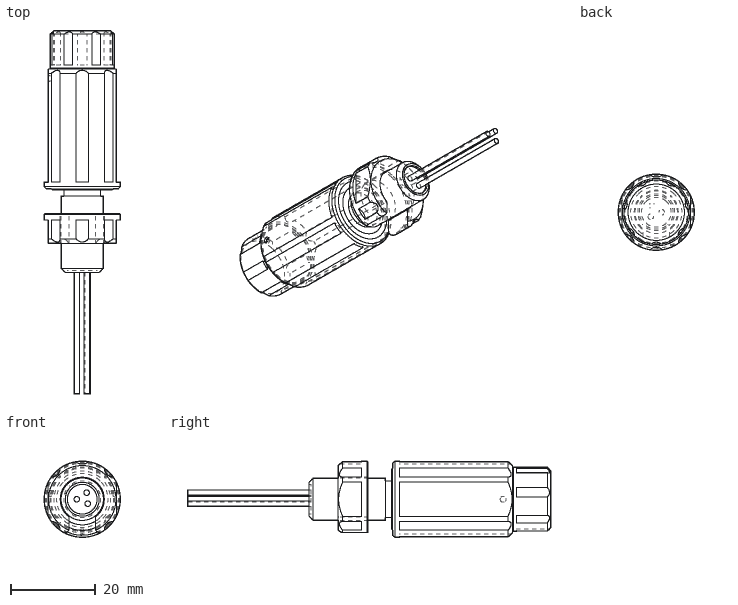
import cadquery as cq
import math


cap_end = 9.05
housing_end = 37.3
neck_end = 39.0
stem_end = 57.05
total_length = 85.65
clip_start = 43.1
clip_end = 50.15

cap_radius = 7.6
cap_chamfer_length = 0.8
cap_chamfer_height = 0.95
cap_groove_count = 7
cap_groove_width = 2.25
cap_groove_depth = 0.55
cap_groove_end = 8.1
cap_neck_radius = 7.4
cap_neck_length = 0.2

grip_radius = 9.0
grip_chamfer = 1.05
grip_groove_width = 2.9
grip_groove_depth = 0.75
grip_groove_angles = (45, 90, 135, 225, 270, 315)
flat_distance = 8.05
flange_width = 1.6
housing_flange_chamfer = 0.5
clip_flange_chamfer = 0.3

dimple_station = 11.25
dimple_radius = 0.7
dimple_depth = 0.5

seal_radius = 6.7
seal_width = 1.3
seal_height = 0.3

neck_radius = 4.35
stem_radius = 5.0
stem_chamfer = 1.0
recess_radius = 3.5
recess_depth = 0.5

wire_radius = 0.65
wire_centres = ((-1.29, 0.0), (1.03, 1.55), (1.29, -1.05))

clip_bore_radius = 5.2
clip_slot_width = 6.2
clip_slot_fillet = 1.0


def along_axis(depth):
    """XZ workplane at a depth; extrusions run toward the cable."""
    return cq.Workplane("XZ", origin=(0, -depth, 0))


def cylinder(radius, start, end, x=0, z=0):
    return along_axis(start).center(x, z).circle(radius).extrude(end - start)


def groove_cutter(radius, angle, width, depth, start, end):
    """Round-bottomed lengthwise groove of given width and depth in a cylinder."""
    half_width = width / 2
    surface = math.sqrt(radius**2 - half_width**2)
    sagitta = surface - (radius - depth)
    groove_radius = (half_width**2 + sagitta**2) / (2 * sagitta)
    centre = radius - depth + groove_radius
    turn = math.radians(angle)
    return cylinder(groove_radius, start, end, centre * math.cos(turn), centre * math.sin(turn))


def cut_grip(body, start, end):
    """Cut the lengthwise grooves and the two side flats into a grip."""
    for angle in grip_groove_angles:
        body = body.cut(groove_cutter(grip_radius, angle, grip_groove_width, grip_groove_depth, start, end))
    for side in (-1, 1):
        slab = (
            along_axis(start)
            .center(side * (flat_distance + grip_radius / 2), 0)
            .rect(grip_radius, 2 * grip_radius)
            .extrude(end - start)
        )
        body = body.cut(slab)
    return body


def make_cap():
    """Chamfered, grooved cap with a narrow neck where it meets the housing."""
    neck_start = cap_end - cap_neck_length
    profile = [
        (0, 0),
        (cap_radius - cap_chamfer_height, 0),
        (cap_radius, -cap_chamfer_length),
        (cap_radius, -neck_start),
        (cap_neck_radius, -neck_start),
        (cap_neck_radius, -cap_end),
        (0, -cap_end),
    ]
    cap = cq.Workplane("XY").polyline(profile).close().revolve(360, (0, 0, 0), (0, 1, 0))
    first_angle = -90
    for index in range(cap_groove_count):
        angle = first_angle + index * 360 / cap_groove_count
        cap = cap.cut(groove_cutter(cap_radius, angle, cap_groove_width, cap_groove_depth, 0, cap_groove_end))
    return cap


def make_housing():
    housing = cylinder(grip_radius, cap_end, housing_end)
    housing = housing.faces(">Y").edges().chamfer(grip_chamfer)
    housing = housing.faces("<Y").edges().chamfer(housing_flange_chamfer)
    housing = cut_grip(housing, cap_end, housing_end - flange_width)
    dimple = (
        cq.Workplane("YZ", origin=(-flat_distance, -dimple_station, 0))
        .circle(dimple_radius)
        .extrude(dimple_depth)
    )
    return housing.cut(dimple)


def make_seal():
    """Ring with an arc-shaped crown, revolved about the connector axis."""
    inner = seal_radius - seal_width / 2
    outer = seal_radius + seal_width / 2
    return (
        cq.Workplane("XY")
        .moveTo(inner, -housing_end)
        .threePointArc((seal_radius, -housing_end - seal_height), (outer, -housing_end))
        .close()
        .revolve(360, (0, 0, 0), (0, 1, 0))
    )


def make_stem():
    neck = cylinder(neck_radius, housing_end, neck_end)
    stem = cylinder(stem_radius, neck_end, stem_end).faces("<Y").edges().chamfer(stem_chamfer)
    recess_floor = stem_end - recess_depth
    stem = stem.cut(cylinder(recess_radius, recess_floor, stem_end))
    for x, z in wire_centres:
        stem = stem.union(cylinder(wire_radius, recess_floor, total_length, x, z))
    return neck.union(stem)


def make_connector():
    return make_cap().union(make_housing()).union(make_seal()).union(make_stem())


def make_clip():
    """C-shaped clip that sits loosely around the stem and opens toward -Z."""
    length = clip_end - clip_start
    slot = (
        along_axis(clip_start)
        .center(0, -grip_radius / 2)
        .rect(clip_slot_width, grip_radius)
        .extrude(length)
    )
    ring = cylinder(grip_radius, clip_start, clip_end).cut(slot)
    tip_height = math.sqrt(grip_radius**2 - (clip_slot_width / 2) ** 2)
    for side in (-1, 1):
        tip = (side * clip_slot_width / 2, -(clip_start + clip_end) / 2, -tip_height)
        ring = ring.edges(cq.selectors.NearestToPointSelector(tip)).fillet(clip_slot_fillet)
    ring = ring.cut(cylinder(clip_bore_radius, clip_start, clip_end))

    envelope = cylinder(grip_radius, clip_start, clip_end)
    envelope = envelope.faces(">Y").edges().chamfer(clip_flange_chamfer)
    envelope = envelope.faces("<Y").edges().chamfer(grip_chamfer)
    return cut_grip(ring.intersect(envelope), clip_start + flange_width, clip_end)


connector = make_connector()
clip = make_clip()

result = cq.Compound.makeCompound([*connector.solids().vals(), *clip.solids().vals()])